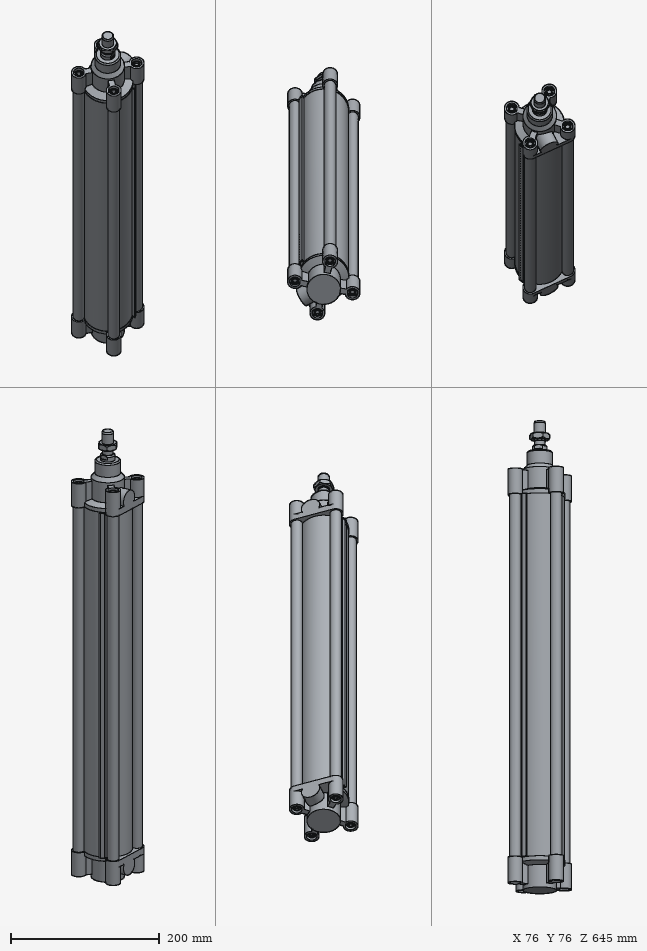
import cadquery as cq


total_height = 645.0
pilot_height = 6.0
post_height = 35.0
barrel_length = 499.5
barrel_bottom = pilot_height + post_height
barrel_top = barrel_bottom + barrel_length

post_spacing = 56.0
post_diameter = 20.0
post_offset = post_spacing / 2
cap_half_width = post_offset + post_diameter / 2
flange_diameter = 68.0
flange_thickness = 6.0
flange_cone_height = 4.0
hub_diameter = 45.0
rib_width = 8.5

recess_diameter = 14.0
recess_depth = 5.0
screw_diameter = 10.0
screw_socket_diameter = 6.5
screw_height = 3.0

port_diameter = 26.5
port_offset_x = 4.5
port_height = 15.5
port_wall_start_y = 19.5

neck_diameter = 35.0
neck_height = 19.5
neck_chamfer = 2.0
shoulder_cone_height = 6.0
hub_rise = 4.0

tube_diameter = 67.0
lobe_width = 15.5
lobe_corner_radius = 7.0
rail_outer_diameter = 77.0
rail_lip_thickness = 1.0
rail_web_thickness = 1.0
rail_start_y = 11.0
rail_end_y = 18.0

rod_diameter = 20.0
rod_flats_width = 17.0
rod_flats_length = 6.0
rod_shoulder_height = 612.5
rod_shoulder_chamfer = 2.0
undercut_diameter = 14.0
undercut_length = 6.0
thread_diameter = 16.0
thread_end_diameter = 13.5
thread_chamfer_height = 2.5

nut_across_flats = 24.0
nut_thickness = 8.5
nut_bottom = 620.0
nut_chamfer_height = 2.0
nut_face_diameter = 23.0


def cylinder(diameter, height, bottom=0.0, x=0.0, y=0.0):
    return cq.Workplane("XY", origin=(x, y, bottom)).circle(diameter / 2).extrude(height)


def cone(bottom_diameter, top_diameter, height, bottom):
    solid = cq.Solid.makeCone(bottom_diameter / 2, top_diameter / 2, height, cq.Vector(0, 0, bottom))
    return cq.Workplane(solid)


def corner_points():
    return [(x * post_offset, y * post_offset) for x in (-1, 1) for y in (-1, 1)]


def barrel_lobes():
    """Four lobes of rounded square section, running along the barrel in line with the corner posts."""
    return (
        cq.Workplane("XY")
        .rect(post_spacing, post_spacing, forConstruction=True)
        .vertices()
        .rect(lobe_width, lobe_width)
        .extrude(barrel_length)
        .edges("|Z")
        .fillet(lobe_corner_radius)
    )


def port_boss():
    """Cylindrical port boss along Y, with the wall that ties it to the two +Y posts."""
    boss = (
        cq.Workplane("XZ", origin=(port_offset_x, 0, port_height))
        .circle(port_diameter / 2)
        .extrude(-cap_half_width)
    )
    wall_depth = cap_half_width - port_wall_start_y
    wall_height = flange_thickness + flange_cone_height
    wall = cq.Workplane("XY").box(post_spacing, wall_depth, wall_height, centered=(True, False, False))
    return boss.union(wall.translate((0, port_wall_start_y, 0)))


def cap_base(hub_height):
    """Cap with its barrel face at Z = 0 and its outer end pointing up."""
    cap = cylinder(flange_diameter, flange_thickness)
    cap = cap.union(cone(flange_diameter, hub_diameter, flange_cone_height, flange_thickness))
    cap = cap.union(cylinder(hub_diameter, hub_height))
    rib_length = 2 * 2 ** 0.5 * post_offset
    for angle in (45, 135):
        rib = cq.Workplane("XY").box(rib_length, rib_width, post_height, centered=(True, True, False))
        cap = cap.union(rib.rotate((0, 0, 0), (0, 0, 1), angle))
    cap = cap.union(port_boss())
    for x, y in corner_points():
        cap = cap.union(cylinder(post_diameter, post_height, 0, x, y))
    recess_floor = post_height - recess_depth
    for x, y in corner_points():
        cap = cap.cut(cylinder(recess_diameter, recess_depth, recess_floor, x, y))
        screw = cylinder(screw_diameter, screw_height, recess_floor, x, y)
        cap = cap.union(screw.cut(cylinder(screw_socket_diameter, screw_height, recess_floor, x, y)))
    return cap


def make_rear_cap():
    cap = cap_base(post_height + pilot_height)
    return cap.mirror("XY").translate((0, 0, barrel_bottom))


def make_front_cap():
    hub_height = post_height + hub_rise
    neck_bottom = hub_height + shoulder_cone_height
    neck = cylinder(neck_diameter, neck_height, neck_bottom).faces(">Z").chamfer(neck_chamfer)
    cap = cap_base(hub_height)
    cap = cap.union(cone(hub_diameter, neck_diameter, shoulder_cone_height, hub_height))
    cap = cap.union(neck)
    cap = cap.cut(cylinder(rod_diameter, neck_bottom + neck_height))
    return cap.translate((0, 0, barrel_top))


def sensor_rail():
    """Hooked lips on the -X and +X sides, each leaving a channel open towards a +Y lobe."""
    lip_inner_diameter = rail_outer_diameter - 2 * rail_lip_thickness
    disc = cylinder(rail_outer_diameter, barrel_length)
    lip_band = cq.Workplane("XY").box(
        rail_outer_diameter, rail_end_y - rail_start_y, barrel_length, centered=(True, False, False)
    )
    web = cq.Workplane("XY").box(
        rail_outer_diameter, rail_web_thickness, barrel_length, centered=(True, False, False)
    )
    lips = lip_band.translate((0, rail_start_y, 0)).cut(cylinder(lip_inner_diameter, barrel_length))
    return lips.union(web.translate((0, rail_start_y, 0))).intersect(disc)


def make_barrel():
    barrel = cylinder(tube_diameter, barrel_length).union(sensor_rail()).union(barrel_lobes())
    return barrel.translate((0, 0, barrel_bottom))


def make_piston_rod():
    shank_length = rod_shoulder_height - barrel_top
    shank = cylinder(rod_diameter, shank_length, barrel_top).faces(">Z").chamfer(rod_shoulder_chamfer)
    flats_bottom = rod_shoulder_height - rod_flats_length
    for side in (-1, 1):
        cutter = cq.Workplane("XY").box(
            rod_diameter, 2 * rod_diameter, rod_flats_length, centered=(True, True, False)
        )
        cutter_x = side * (rod_flats_width + rod_diameter) / 2
        shank = shank.cut(cutter.translate((cutter_x, 0, flats_bottom)))
    thread_bottom = rod_shoulder_height + undercut_length
    thread_top = total_height - thread_chamfer_height
    thread = cylinder(thread_diameter, thread_top - thread_bottom, thread_bottom)
    thread = thread.union(cone(thread_diameter, thread_end_diameter, thread_chamfer_height, thread_top))
    undercut = cylinder(undercut_diameter, undercut_length, rod_shoulder_height)
    return shank.union(undercut).union(thread)


def make_nut():
    """Hexagon nut with two corners on the Y axis and both ends chamfered."""
    across_corners = nut_across_flats * 2 / 3 ** 0.5
    blank = cq.Workplane("XY").polygon(6, across_corners).extrude(nut_thickness)
    blank = blank.rotate((0, 0, 0), (0, 0, 1), 90)
    corner_radius = across_corners / 2
    face_radius = nut_face_diameter / 2
    envelope = (
        cq.Workplane("XZ")
        .moveTo(0, 0)
        .lineTo(face_radius, 0)
        .lineTo(corner_radius, nut_chamfer_height)
        .lineTo(corner_radius, nut_thickness - nut_chamfer_height)
        .lineTo(face_radius, nut_thickness)
        .lineTo(0, nut_thickness)
        .close()
        .revolve(360, (0, 0, 0), (0, 1, 0))
    )
    nut = blank.intersect(envelope).cut(cylinder(thread_diameter, nut_thickness))
    return nut.translate((0, 0, nut_bottom))


rear_cap = make_rear_cap()
barrel = make_barrel()
front_cap = make_front_cap()
piston_rod = make_piston_rod()
nut = make_nut()

result = cq.Compound.makeCompound(
    [rear_cap.val(), barrel.val(), front_cap.val(), piston_rod.val(), nut.val()]
)